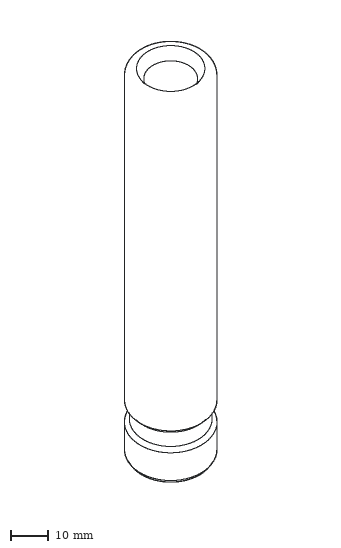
import cadquery as cq
import math

length = 140.0
body_radius = 25.0 / 2
rim_fillet = 2.5
foot_chamfer_width = 0.7
foot_chamfer_height = 1.3

neck_radius = 11.2
groove_bottom = 11.3
neck_bottom = 12.5
neck_top = 17.6
groove_top = 19.3

mouth_radius = 9.2
bore_radius = 7.3
mouth_depth = 3.8
bore_depth = 42.0
drill_point_angle = 118.0


def make_body():
    """Revolve the grooved outside of the pin about Z."""
    fillet_middle = rim_fillet * math.sqrt(0.5)
    profile = (
        cq.Workplane("XZ")
        .lineTo(body_radius - foot_chamfer_width, 0)
        .lineTo(body_radius, foot_chamfer_height)
        .lineTo(body_radius, groove_bottom)
        .lineTo(neck_radius, neck_bottom)
        .lineTo(neck_radius, neck_top)
        .lineTo(body_radius, groove_top)
        .lineTo(body_radius, length - rim_fillet)
        .threePointArc(
            (
                body_radius - rim_fillet + fillet_middle,
                length - rim_fillet + fillet_middle,
            ),
            (body_radius - rim_fillet, length),
        )
        .lineTo(0, length)
        .close()
    )
    return profile.revolve(360, (0, 0), (0, 1))


def make_bore():
    """Revolve the bore, whose mouth widens to the rim."""
    point_depth = bore_radius / math.tan(math.radians(drill_point_angle / 2))
    bore_bottom = length - bore_depth
    profile = (
        cq.Workplane("XZ")
        .moveTo(0, bore_bottom - point_depth)
        .lineTo(bore_radius, bore_bottom)
        .lineTo(bore_radius, length - mouth_depth)
        .lineTo(mouth_radius, length)
        .lineTo(0, length)
        .close()
    )
    return profile.revolve(360, (0, 0), (0, 1))


result = make_body().cut(make_bore())